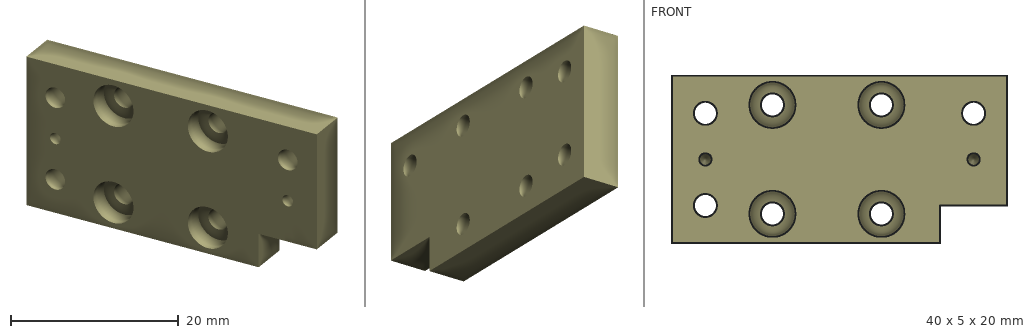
import cadquery as cq
import math

LENGTH = 40.0
THICKNESS = 5.0
HEIGHT = 20.0
FRONT_Y = -THICKNESS / 2

END_HOLE_SPACING_X = 32.0
END_HOLE_SPACING_Z = 11.0
SCREW_SPACING = 13.0
FIRST_SCREW_X = -8.0
THROUGH_DIAMETER = 2.7
COUNTERBORE_DIAMETER = 5.5
COUNTERBORE_DEPTH = THICKNESS / 2

PIN_DIAMETER = 1.5
PIN_DEPTH = 3.0
DRILL_POINT_ANGLE = 118.0

NOTCH_LENGTH = 8.0
NOTCH_HEIGHT = (HEIGHT - END_HOLE_SPACING_Z) / 2

end_x = END_HOLE_SPACING_X / 2
end_z = END_HOLE_SPACING_Z / 2
screw_z = SCREW_SPACING / 2


def bore(x, z, diameter, depth):
    """Cylinder running into the plate from the front face."""
    start = cq.Vector(x, FRONT_Y, z)
    return cq.Workplane(cq.Solid.makeCylinder(diameter / 2, depth, start, cq.Vector(0, 1, 0)))


def drill_point(x, z):
    """Cone closing the bottom of a pin hole."""
    radius = PIN_DIAMETER / 2
    point_length = radius / math.tan(math.radians(DRILL_POINT_ANGLE / 2))
    start = cq.Vector(x, FRONT_Y + PIN_DEPTH, z)
    return cq.Workplane(cq.Solid.makeCone(radius, 0, point_length, start, cq.Vector(0, 1, 0)))


result = cq.Workplane("XY").box(LENGTH, THICKNESS, HEIGHT)

notch_center = ((LENGTH - NOTCH_LENGTH) / 2, 0, (NOTCH_HEIGHT - HEIGHT) / 2)
notch = cq.Workplane("XY").box(NOTCH_LENGTH, THICKNESS, NOTCH_HEIGHT).translate(notch_center)
result = result.cut(notch)

for x, z in [(-end_x, end_z), (-end_x, -end_z), (end_x, end_z)]:
    result = result.cut(bore(x, z, THROUGH_DIAMETER, THICKNESS))

for x in (FIRST_SCREW_X, FIRST_SCREW_X + SCREW_SPACING):
    for z in (-screw_z, screw_z):
        result = result.cut(bore(x, z, THROUGH_DIAMETER, THICKNESS))
        result = result.cut(bore(x, z, COUNTERBORE_DIAMETER, COUNTERBORE_DEPTH))

for x in (-end_x, end_x):
    result = result.cut(bore(x, 0, PIN_DIAMETER, PIN_DEPTH))
    result = result.cut(drill_point(x, 0))